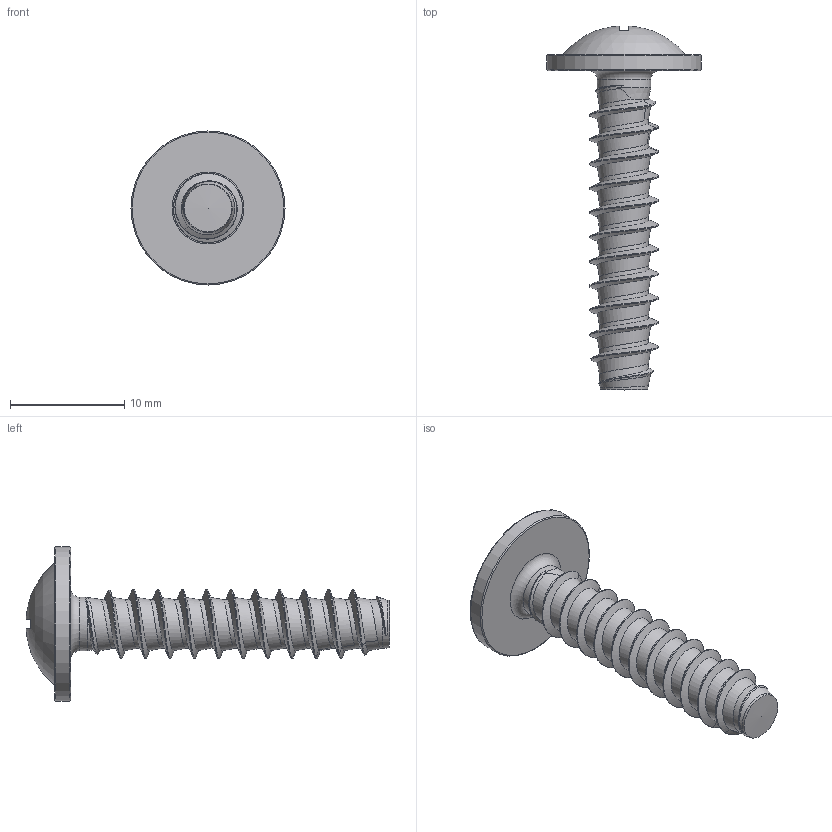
import cadquery as cq
import math


flange_dia = 13.5
flange_thickness = 1.4
flange_edge_fillet = 0.1
dome_base_dia = 10.8
dome_height = 2.53
slot_width = 0.83
slot_depth = 0.45

shank_length = 28.0
neck_radius = 2.35
neck_fillet = 0.8
neck_length = 1.5
neck_taper_length = 1.0
core_radius = 2.15
core_top_y = -0.4
tip_radius = 2.08
tip_taper_length = 0.6
tip_cone_height = 0.05

thread_radius = 3.03
pitch = 2.14
crest_width = 0.08
flank_offset = 0.48
shoulder_offset = 0.28
shoulder_radius = 2.34
ridge_end_offset = 1.55
ridge_end_radius = core_radius - 0.03
embed = 0.25
thread_phase_y = -4.97
thread_first_y = -1.0
thread_last_y = -27.6
run_in_y = -3.7
run_out_y = -24.85
run_in_slope = 0.28
run_out_slope = 0.32
thread_floor_y = -27.9
samples_per_turn = 24
turns_per_span = 1.0


def make_head():
    """Revolve the flange, dome and tapered neck about Y."""
    dome_base_radius = dome_base_dia / 2
    dome_top = flange_thickness + dome_height
    sphere_radius = (dome_base_radius**2 + dome_height**2) / (2 * dome_height)
    half_angle = math.asin(dome_base_radius / sphere_radius) / 2
    dome_mid = (
        sphere_radius * math.sin(half_angle),
        dome_top - sphere_radius * (1 - math.cos(half_angle)),
    )
    flange_radius = flange_dia / 2
    edge = flange_edge_fillet
    neck_bottom = -neck_length - neck_taper_length
    diagonal = math.sqrt(0.5)
    fillet_centre = neck_radius + neck_fillet
    return (
        cq.Workplane("XY")
        .moveTo(0, dome_top)
        .threePointArc(dome_mid, (dome_base_radius, flange_thickness))
        .lineTo(flange_radius - edge, flange_thickness)
        .radiusArc((flange_radius, flange_thickness - edge), edge)
        .lineTo(flange_radius, edge)
        .radiusArc((flange_radius - edge, 0), edge)
        .lineTo(fillet_centre, 0)
        .threePointArc(
            (fillet_centre - neck_fillet * diagonal, -neck_fillet * (1 - diagonal)),
            (neck_radius, -neck_fillet),
        )
        .lineTo(neck_radius, -neck_length)
        .lineTo(core_radius, neck_bottom)
        .lineTo(0, neck_bottom)
        .close()
        .revolve(360, (0, 0, 0), (0, 1, 0))
    )


def make_core():
    """Revolve the plain core of the shank with its tapered, slightly pointed tip."""
    tip_edge_y = -shank_length + tip_cone_height
    return (
        cq.Workplane("XY")
        .moveTo(0, core_top_y)
        .lineTo(core_radius, core_top_y)
        .lineTo(core_radius, tip_edge_y + tip_taper_length)
        .lineTo(tip_radius, tip_edge_y)
        .lineTo(0, -shank_length)
        .close()
        .revolve(360, (0, 0, 0), (0, 1, 0))
    )


def cut_cross_slots(body):
    """Cut two perpendicular driver slots across the crown of the dome."""
    crown = flange_thickness + dome_height
    for length_x, length_z in ((flange_dia, slot_width), (slot_width, flange_dia)):
        slot = cq.Workplane("XY").box(length_x, 2 * slot_depth, length_z)
        body = body.cut(slot.translate((0, crown, 0)))
    return body


def ridge_limit(y):
    """Largest ridge radius with the crest at height y, sinking into the shank at both ends."""
    run_in = thread_radius - run_in_slope * max(0, y - run_in_y)
    run_out = thread_radius - run_out_slope * max(0, run_out_y - y)
    return min(run_in, run_out)


def ridge_section():
    """Ridge outline as (axial offset from the crest, radius) pairs."""
    inner_radius = core_radius - embed
    return [
        (flank_offset, inner_radius),
        (crest_width / 2, thread_radius),
        (-crest_width / 2, thread_radius),
        (-shoulder_offset, shoulder_radius),
        (-ridge_end_offset, ridge_end_radius),
        (-ridge_end_offset, inner_radius),
    ]


def ridge_point(offset, radius, turns):
    """Point on the right-hand helix of one ridge corner, a number of turns after the thread start."""
    crest_y = thread_first_y - turns * pitch
    angle = 2 * math.pi * (thread_phase_y - crest_y) / pitch
    squeeze = min(1, (crest_y - thread_floor_y) / ridge_end_offset)
    y = crest_y + offset * squeeze
    r = min(radius, ridge_limit(y))
    return cq.Vector(r * math.cos(angle), y, r * math.sin(angle))


def helical_edge(offset, radius, first_turn, last_turn):
    """Spline along one ridge corner between two turn counts."""
    count = math.ceil(samples_per_turn * (last_turn - first_turn))
    step = (last_turn - first_turn) / count
    points = [ridge_point(offset, radius, first_turn + i * step) for i in range(count + 1)]
    return cq.Edge.makeSpline(points)


def make_thread():
    """Close ruled strips between neighbouring helices into one solid ridge."""
    section = ridge_section()
    turns = (thread_first_y - thread_last_y) / pitch
    spans = math.ceil(turns / turns_per_span)
    faces = []
    for i in range(spans):
        limits = (turns * i / spans, turns * (i + 1) / spans)
        edges = [helical_edge(offset, radius, *limits) for offset, radius in section]
        for edge, next_edge in zip(edges, edges[1:] + edges[:1]):
            faces.append(cq.Face.makeRuledSurface(edge, next_edge))
    for end in (0, turns):
        corners = [ridge_point(offset, radius, end) for offset, radius in section]
        faces.append(cq.Face.makeFromWires(cq.Wire.makePolygon(corners, close=True)))
    return cq.Solid.makeSolid(cq.Shell.makeShell(faces)).fix()


shank = make_core().union(cq.Workplane(obj=make_thread()))
result = cut_cross_slots(make_head()).union(shank)